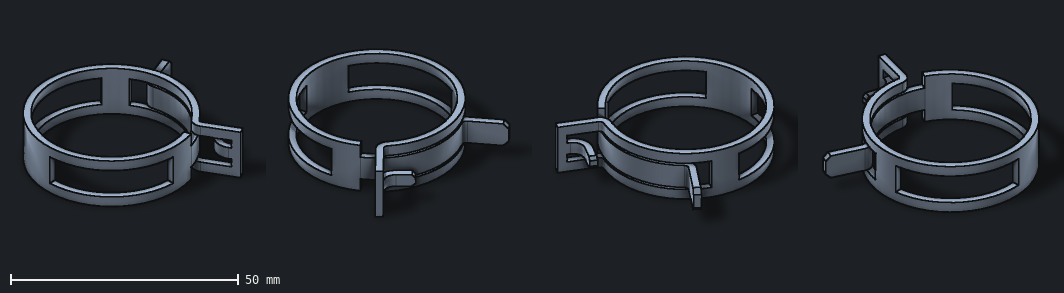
import cadquery as cq
import math


overall_depth = 43.35

outer_diameter = 39.0
strip_thickness = 1.78
strip_width = 12.0
outer_radius = outer_diameter / 2
inner_radius = outer_radius - strip_thickness

band_end_angle = 38.5
window_upper_angle = 18.5
window_lower_angle = -70
window_width = 6.9

grip_angle = 48.7
grip_tip_radius = 29.53
grip_bend_radius = 1.0
slot_end_margin = 2.15
tongue_width = 5.75
tongue_tip_chamfer = 1.15

hook_width = 3.0
hook_bend_radius = 2.7
hook_root_length = 0.65
hook_tip_chamfer = 0.8


def polar(radius, angle):
    """Point at a radius and an angle in degrees."""
    return (radius * math.cos(math.radians(angle)), radius * math.sin(math.radians(angle)))


def extrude_mid(sketch, width):
    """Extrude a closed XY outline symmetrically about Z = 0."""
    return sketch.close().extrude(width / 2, both=True)


def ring_sector(start_angle, end_angle, width):
    """Piece of the ring between two angles."""
    middle_angle = (start_angle + end_angle) / 2
    sketch = (
        cq.Workplane("XY")
        .moveTo(*polar(outer_radius, start_angle))
        .threePointArc(polar(outer_radius, middle_angle), polar(outer_radius, end_angle))
        .lineTo(*polar(inner_radius, end_angle))
        .threePointArc(polar(inner_radius, middle_angle), polar(inner_radius, start_angle))
    )
    return extrude_mid(sketch, width)


def grip_point(along, across):
    """Point placed along the wide grip and across it, counter-clockwise positive."""
    x_along, y_along = polar(along, grip_angle)
    x_across, y_across = polar(across, grip_angle + 90)
    return (x_along + x_across, y_along + y_across)


def arm(tip_radius, far_angle, width):
    """Strip along the ring, from an outward grip on the +X side round to an angle."""
    bend_across = strip_thickness + grip_bend_radius
    bend_distance = outer_radius + grip_bend_radius
    bend_offset_angle = math.degrees(math.asin(bend_across / bend_distance))
    bend_angle = grip_angle + bend_offset_angle
    bend_along = bend_distance * math.cos(math.radians(bend_offset_angle))
    center_x, center_y = polar(bend_distance, bend_angle)
    middle_direction = (bend_angle + 180 + grip_angle + 270) / 2

    def bend_middle(radius):
        x, y = polar(radius, middle_direction)
        return (center_x + x, center_y + y)

    arc_middle_angle = (bend_angle + far_angle) / 2
    sketch = (
        cq.Workplane("XY")
        .moveTo(*polar(inner_radius, far_angle))
        .threePointArc(polar(inner_radius, arc_middle_angle), polar(inner_radius, bend_angle))
        .threePointArc(bend_middle(bend_across), grip_point(bend_along, 0))
        .lineTo(*grip_point(tip_radius, 0))
        .lineTo(*grip_point(tip_radius, strip_thickness))
        .lineTo(*grip_point(bend_along, strip_thickness))
        .threePointArc(bend_middle(grip_bend_radius), polar(outer_radius, bend_angle))
        .threePointArc(polar(outer_radius, arc_middle_angle), polar(outer_radius, far_angle))
    )
    return extrude_mid(sketch, width)


def tip_corners(along, across, turn, width, chamfer):
    """Wedges that chamfer the two corners of a strip end.

    The end is centred on a grip point and faces the grip direction turned by `turn`.
    """
    x, y = grip_point(along, across)
    half = width / 2
    wedges = cq.Workplane("XY")
    for side in (1, -1):
        wedge = (
            cq.Workplane("XZ")
            .polyline([(0, side * half), (-chamfer, side * half), (0, side * (half - chamfer))])
            .close()
            .extrude(strip_thickness, both=True)
        )
        wedges = wedges.add(wedge)
    placed = wedges.combine().rotate((0, 0, 0), (0, 0, 1), grip_angle + turn)
    return placed.translate((x, y, 0))


def hook():
    """Finger that leaves the slot end, then bends square away from the wide grip."""
    outer_bend = hook_bend_radius + strip_thickness
    root = grip_tip_radius - slot_end_margin
    bend_along = root - hook_root_length
    diagonal = math.sqrt(0.5)
    far_face = bend_along - hook_bend_radius
    tip_y = overall_depth - outer_radius
    far_face_y = polar(far_face, grip_angle)[1]
    hook_reach = (tip_y - far_face_y) / math.cos(math.radians(grip_angle))
    near_face = bend_along - outer_bend
    sketch = (
        cq.Workplane("XY")
        .moveTo(*grip_point(root, 0))
        .lineTo(*grip_point(bend_along, 0))
        .threePointArc(
            grip_point(bend_along - diagonal * outer_bend, outer_bend * (1 - diagonal)),
            grip_point(near_face, outer_bend),
        )
        .lineTo(*grip_point(near_face, hook_reach))
        .lineTo(*grip_point(far_face, hook_reach))
        .lineTo(*grip_point(far_face, outer_bend))
        .threePointArc(
            grip_point(bend_along - diagonal * hook_bend_radius, outer_bend - diagonal * hook_bend_radius),
            grip_point(bend_along, strip_thickness),
        )
        .lineTo(*grip_point(root, strip_thickness))
    )
    middle = (near_face + far_face) / 2
    corners = tip_corners(middle, hook_reach, 90, hook_width, hook_tip_chamfer)
    return extrude_mid(sketch, hook_width).cut(corners)


slot_start_angle = 180 - band_end_angle

strip = arm(grip_tip_radius, 360 + band_end_angle, strip_width)
side_window = ring_sector(window_lower_angle, window_upper_angle, window_width)
slot = arm(grip_tip_radius - slot_end_margin, slot_start_angle, window_width)
strip = strip.cut(side_window).cut(side_window.mirror("YZ")).cut(slot)

tongue_corners = tip_corners(grip_tip_radius, strip_thickness / 2, 0, tongue_width, tongue_tip_chamfer)
tongue = arm(grip_tip_radius, slot_start_angle, tongue_width).cut(tongue_corners).mirror("YZ")

result = strip.union(hook()).union(tongue, clean=False)